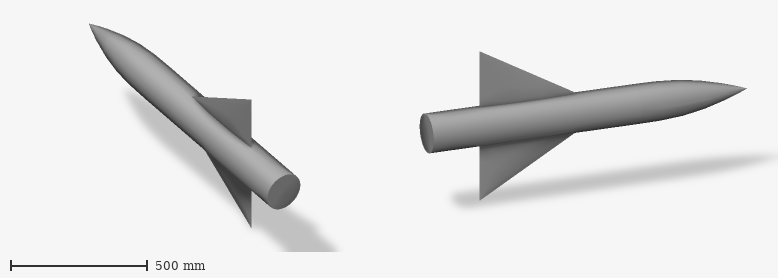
import cadquery as cq
import math

overall_length = 1252.22
body_diameter = 147.32
body_radius = body_diameter / 2
nose_length = 3 * body_diameter

nose_tip_control = 0.45 * nose_length
nose_base_control = 0.70 * nose_length

fin_tip_height = 4 * body_radius
fin_root_height = body_radius / 2
fin_sweep_angle = 60.0
fin_tip_chord = 0.1
fin_thickness_ratio = 0.04
fin_tail_gap = 207.0
fin_trailing_x = overall_length - fin_tail_gap


def make_fuselage():
    """Pointed nose blending smoothly into the body cylinder, revolved about X."""
    nose_curve = [
        (0, 0),
        (nose_tip_control, body_radius),
        (nose_base_control, body_radius),
        (nose_length, body_radius),
    ]
    profile = (
        cq.Workplane("XY")
        .bezier(nose_curve)
        .lineTo(overall_length, body_radius)
        .lineTo(overall_length, 0)
        .close()
    )
    return profile.revolve(360, (0, 0, 0), (1, 0, 0))


def fin_section(height, chord):
    """Biconvex fin section at the given height, ending at the straight trailing edge."""
    leading_x = fin_trailing_x - chord
    middle_x = fin_trailing_x - chord / 2
    half_thickness = chord * fin_thickness_ratio / 2
    outline = (
        cq.Workplane("XY", origin=(0, 0, height))
        .moveTo(leading_x, 0)
        .threePointArc((middle_x, half_thickness), (fin_trailing_x, 0))
        .threePointArc((middle_x, -half_thickness), (leading_x, 0))
    )
    return outline.wire().val()


def make_upper_fin():
    """Delta fin lofted from a root buried in the body out to a very short tip chord."""
    fin_height = fin_tip_height - fin_root_height
    root_chord = fin_tip_chord + fin_height * math.tan(math.radians(fin_sweep_angle))
    root = fin_section(fin_root_height, root_chord)
    tip = fin_section(fin_tip_height, fin_tip_chord)
    return cq.Workplane(cq.Solid.makeLoft([root, tip], True))


upper_fin = make_upper_fin()
lower_fin = upper_fin.mirror("XY")
result = make_fuselage().union(upper_fin).union(lower_fin)